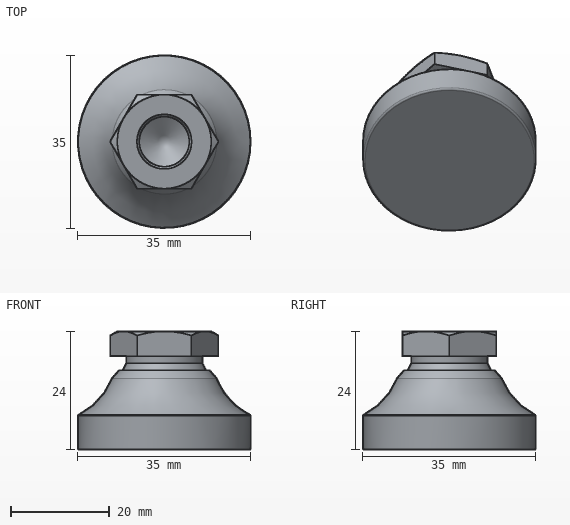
import cadquery as cq
import math

base_diameter = 35.0
total_height = 24.0

base_radius = base_diameter / 2
bottom_fillet = 0.4
rim_inset = 0.1
rim_drop = 0.2
rim_height = 7.1
flare_top_radius = 10.57
flare_top_height = 14.55
flare_sag = 0.95
shoulder_radius = 9.17
shoulder_height = 16.15

neck_foot_radius = 8.45
neck_radius = 15.5 / 2
neck_cone_top = 17.55

hex_height = 5.0
hex_across_flats = 19.0
hex_chamfer_angle = 30.0
hex_bottom = total_height - hex_height
hex_corner_radius = hex_across_flats / math.sqrt(3)

hole_radius = 10.1 / 2
hole_mouth_radius = 5.53
hole_depth = 10.0
drill_point_angle = 118.0


def make_foot_and_neck():
    """Revolve the foot and neck outline about Z."""
    run = base_radius - rim_inset - flare_top_radius
    rise = flare_top_height - rim_height
    chord = math.hypot(run, rise)
    flare_middle = (
        flare_top_radius + run / 2 - flare_sag * rise / chord,
        rim_height + rise / 2 - flare_sag * run / chord,
    )
    return (
        cq.Workplane("XZ")
        .lineTo(base_radius - bottom_fillet, 0)
        .radiusArc((base_radius, bottom_fillet), -bottom_fillet)
        .lineTo(base_radius, rim_height - rim_drop)
        .lineTo(base_radius - rim_inset, rim_height)
        .threePointArc(flare_middle, (flare_top_radius, flare_top_height))
        .lineTo(shoulder_radius, shoulder_height)
        .lineTo(neck_foot_radius, shoulder_height)
        .lineTo(neck_radius, neck_cone_top)
        .lineTo(neck_radius, hex_bottom)
        .lineTo(0, hex_bottom)
        .close()
        .revolve(360, (0, 0), (0, 1))
    )


def make_hex_head():
    """Hexagon with corners on X, its top corners cut back by a cone."""
    head = (
        cq.Workplane("XY", origin=(0, 0, hex_bottom))
        .polygon(6, 2 * hex_corner_radius)
        .extrude(hex_height)
    )
    top_radius = hex_across_flats / 2
    slope = math.tan(math.radians(hex_chamfer_angle))
    cone_base_radius = top_radius + hex_height / slope
    cone = (
        cq.Workplane("XZ")
        .moveTo(0, hex_bottom)
        .lineTo(cone_base_radius, hex_bottom)
        .lineTo(top_radius, total_height)
        .lineTo(0, total_height)
        .close()
        .revolve(360, (0, 0), (0, 1))
    )
    return head.intersect(cone)


def make_hole():
    """Countersunk blind hole ending in a drill point."""
    mouth_depth = hole_mouth_radius - hole_radius
    hole_floor = total_height - hole_depth
    point_depth = hole_radius / math.tan(math.radians(drill_point_angle / 2))
    return (
        cq.Workplane("XZ")
        .moveTo(0, total_height)
        .lineTo(hole_mouth_radius, total_height)
        .lineTo(hole_radius, total_height - mouth_depth)
        .lineTo(hole_radius, hole_floor)
        .lineTo(0, hole_floor - point_depth)
        .close()
        .revolve(360, (0, 0), (0, 1))
    )


result = make_foot_and_neck().union(make_hex_head()).cut(make_hole())